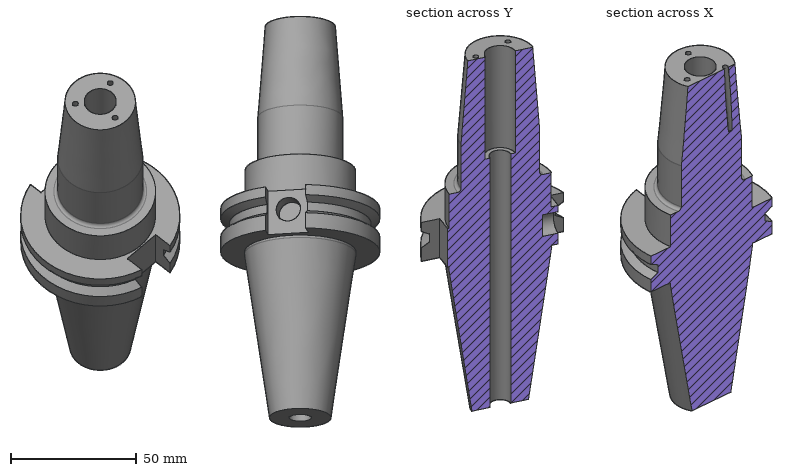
import cadquery as cq
import math

total_height = 163.5
gauge_height = 68.4
flange_bottom = 69.3
flange_top = 87.5
groove_height = 79.5
shoulder_height = 103.4
nose_base_height = 125.5

gauge_radius = 22.2
taper_rate = 7 / 24
taper_end_radius = gauge_radius - gauge_height * taper_rate / 2
flange_radius = 31.7
groove_radius = 28.3
shoulder_radius = 22.0
neck_radius = 17.0
nose_tip_radius = 14.0
neck_fillet = 1.5

groove_floor_half_width = 1.8
groove_wall_angle = 30
groove_wall_rise = (flange_radius - groove_radius) * math.tan(math.radians(groove_wall_angle))
groove_mouth_half_width = groove_floor_half_width + groove_wall_rise

slot_width = 16.4
slot_floor_left = 24.9
slot_floor_right = 22.7

pocket_radius = 4.9
pocket_depth = 6.5

tool_bore_radius = 6.4
tool_bore_depth = 47.5
through_bore_radius = 4.4

coolant_hole_count = 3
coolant_hole_radius = 1.1
coolant_circle_radius = 10.0
coolant_hole_length = 32.7
coolant_start_angle = -10
nose_length = total_height - nose_base_height
coolant_tilt = math.degrees(math.atan((neck_radius - nose_tip_radius) / nose_length))


def turned_body():
    """Taper, grooved flange, shoulder, neck and conical nose as one revolved profile."""
    fillet_middle = neck_fillet * (1 - math.sqrt(0.5))
    profile = (
        cq.Workplane("XZ")
        .lineTo(taper_end_radius, 0)
        .lineTo(gauge_radius, gauge_height)
        .lineTo(gauge_radius, flange_bottom)
        .lineTo(flange_radius, flange_bottom)
        .lineTo(flange_radius, groove_height - groove_mouth_half_width)
        .lineTo(groove_radius, groove_height - groove_floor_half_width)
        .lineTo(groove_radius, groove_height + groove_floor_half_width)
        .lineTo(flange_radius, groove_height + groove_mouth_half_width)
        .lineTo(flange_radius, flange_top)
        .lineTo(shoulder_radius, flange_top)
        .lineTo(shoulder_radius, shoulder_height)
        .lineTo(neck_radius + neck_fillet, shoulder_height)
        .threePointArc(
            (neck_radius + fillet_middle, shoulder_height + fillet_middle),
            (neck_radius, shoulder_height + neck_fillet),
        )
        .lineTo(neck_radius, nose_base_height)
        .lineTo(nose_tip_radius, total_height)
        .lineTo(0, total_height)
        .close()
    )
    return profile.revolve(360, (0, 0, 0), (0, 1, 0))


def drive_slot(floor_distance, side):
    """Block that cuts a drive slot; side is +1 for +X and -1 for -X."""
    length = flange_radius
    height = flange_top - flange_bottom
    center = (side * (floor_distance + length / 2), 0, flange_bottom + height / 2)
    return cq.Workplane("XY").box(length, slot_width, height).translate(center)


def slot_pocket():
    """Round blind pocket running inward from the left slot floor."""
    return (
        cq.Workplane("YZ", origin=(-slot_floor_left, 0, groove_height))
        .circle(pocket_radius)
        .extrude(pocket_depth)
    )


def hole_from_nose(radius, depth):
    """Cylinder going down from the nose face on the main axis."""
    return cq.Workplane("XY", origin=(0, 0, total_height)).circle(radius).extrude(-depth)


def coolant_hole(angle):
    """Sloping blind hole that meets the nose face on the coolant circle."""
    overshoot = 1.6
    return (
        cq.Workplane("XY", origin=(0, 0, overshoot))
        .circle(coolant_hole_radius)
        .extrude(-(coolant_hole_length + overshoot))
        .rotate((0, 0, 0), (0, 1, 0), -coolant_tilt)
        .translate((coolant_circle_radius, 0, total_height))
        .rotate((0, 0, 0), (0, 0, 1), angle)
    )


result = (
    turned_body()
    .cut(drive_slot(slot_floor_left, -1))
    .cut(drive_slot(slot_floor_right, 1))
    .cut(slot_pocket())
    .cut(hole_from_nose(tool_bore_radius, tool_bore_depth))
    .cut(hole_from_nose(through_bore_radius, total_height))
)

for index in range(coolant_hole_count):
    result = result.cut(coolant_hole(coolant_start_angle + index * 360 / coolant_hole_count))